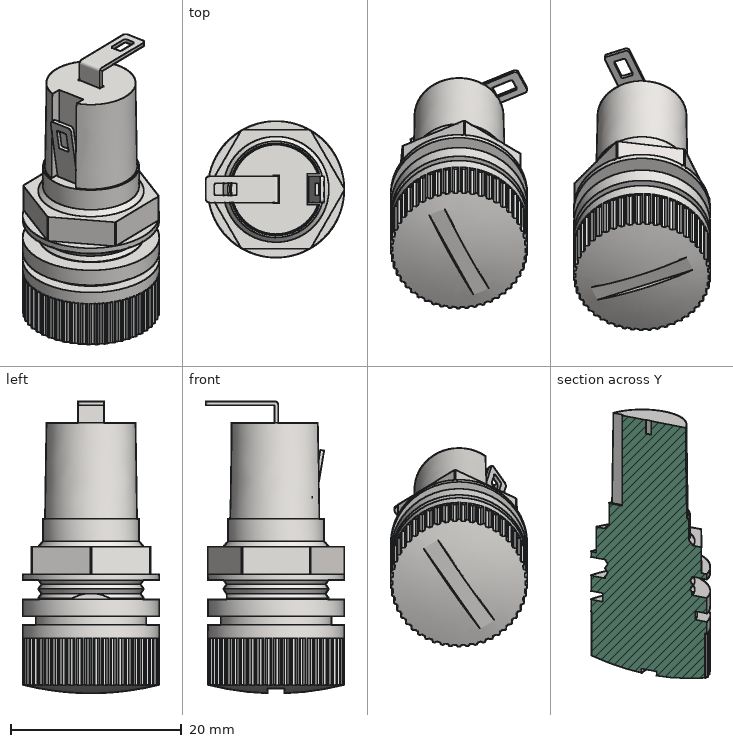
import cadquery as cq
import math


dome_height = 1.03
knurl_top = 6.5
cap_top = 8.03
neck_top = 9.02
flange_top = 11.0
washer_bottom = 13.25
nut_bottom = 13.98
nut_top = 17.2
shoulder_bottom = 17.8
shoulder_top = 20.45
body_top = 31.7
overall_height = 34.18

cap_radius = 8.0
neck_radius = 6.5
thread_crest_radius = 6.2
thread_root_radius = 5.8
shoulder_radius = 5.65
body_bottom_radius = 5.4
body_top_radius = 5.23

first_crest = 11.15
thread_pitch = 1.1
crest_count = 3
thread_flat_distance = 5.78

groove_count = 50
groove_mouth_width = 0.8
groove_floor_width = 0.35
groove_depth = 0.25
first_ridge_angle = 181.0

nut_across_flats = 13.95
driver_slot_width = 1.98
driver_slot_depth = 0.58
notch_inner_face = 3.65
notch_width = 3.62

terminal_width = 3.08
terminal_thickness = 0.48
terminal_corner_radius = 0.4
terminal_bend_radius = 0.4
eyelet_length = 2.63
eyelet_width = 1.45
eyelet_corner_radius = 0.2
eyelet_end_distance = 1.03
top_terminal_reach = 8.25
top_terminal_face = 0.27
terminal_pocket_gap = 0.1
terminal_pocket_depth = 1.7
side_terminal_tilt = 9.5
side_terminal_length = 8.9
side_terminal_tip_x = 5.65
side_terminal_tip_z = 28.45

clearance = 0.35

dome_sphere_radius = (cap_radius**2 + dome_height**2) / (2 * dome_height)
lowest_point = dome_sphere_radius - math.sqrt(dome_sphere_radius**2 - (driver_slot_width / 2) ** 2)
top_terminal_height = lowest_point + overall_height


def turned_core():
    """Domed cap, neck, flange, thread, shoulder and tapered body in one revolution."""
    mid_radius = cap_radius / 2
    mid_height = dome_sphere_radius - math.sqrt(dome_sphere_radius**2 - mid_radius**2)
    half_pitch = thread_pitch / 2
    thread_depth = thread_crest_radius - thread_root_radius
    run_in = (first_crest - flange_top) * thread_depth / half_pitch

    profile = (
        cq.Workplane("XZ")
        .moveTo(0, 0)
        .threePointArc((mid_radius, mid_height), (cap_radius, dome_height))
        .lineTo(cap_radius, cap_top)
        .lineTo(neck_radius, cap_top)
        .lineTo(neck_radius, neck_top)
        .lineTo(cap_radius, neck_top)
        .lineTo(cap_radius, flange_top)
        .lineTo(thread_crest_radius - run_in, flange_top)
    )
    for index in range(crest_count):
        crest = first_crest + index * thread_pitch
        profile = profile.lineTo(thread_crest_radius, crest)
        if index < crest_count - 1:
            profile = profile.lineTo(thread_root_radius, crest + half_pitch)
    profile = (
        profile.lineTo(thread_crest_radius, nut_top)
        .lineTo(shoulder_radius, shoulder_bottom)
        .lineTo(shoulder_radius, shoulder_top)
        .lineTo(body_bottom_radius, shoulder_top)
        .lineTo(body_top_radius, body_top)
        .lineTo(0, body_top)
        .close()
    )
    return profile.revolve(360, (0, 0, 0), (0, 1, 0))


def knurl_grooves():
    """Trapezoidal grooves around the cap, open at the dome."""
    pitch_angle = 360 / groove_count
    outer_radius = cap_radius + clearance
    mouth_radius = math.sqrt(cap_radius**2 - (groove_mouth_width / 2) ** 2)
    floor_radius = cap_radius - groove_depth
    groove = (
        cq.Workplane("XY")
        .polyline(
            [
                (floor_radius, -groove_floor_width / 2),
                (mouth_radius, -groove_mouth_width / 2),
                (outer_radius, -groove_mouth_width / 2),
                (outer_radius, groove_mouth_width / 2),
                (mouth_radius, groove_mouth_width / 2),
                (floor_radius, groove_floor_width / 2),
            ]
        )
        .close()
        .extrude(knurl_top)
    )
    grooves = cq.Workplane("XY")
    for index in range(groove_count):
        angle = first_ridge_angle + (index + 0.5) * pitch_angle
        grooves = grooves.add(groove.rotate((0, 0, 0), (0, 0, 1), angle))
    return cq.Compound.makeCompound(grooves.vals())


def driver_slot():
    """Screwdriver slot along Y across the dome."""
    return cq.Workplane("XY").box(driver_slot_width, 2 * cap_radius, 2 * driver_slot_depth)


def thread_flat():
    """Cutter for the flat on the -X side of the lowest thread turn."""
    first_root = first_crest + thread_pitch / 2
    depth = thread_crest_radius - thread_flat_distance + clearance
    return (
        cq.Workplane("XY", origin=(-thread_flat_distance - depth / 2, 0, flange_top))
        .rect(depth, 2 * thread_crest_radius)
        .extrude(first_root - flange_top)
    )


def washer_and_nut():
    """Round washer below a hexagonal nut whose corners are trimmed to the washer radius."""
    washer_plane = cq.Workplane("XY", origin=(0, 0, washer_bottom))
    washer = washer_plane.circle(cap_radius).extrude(nut_bottom - washer_bottom)
    nut_height = nut_top - nut_bottom
    across_corners = nut_across_flats / math.cos(math.radians(30))
    nut_plane = cq.Workplane("XY", origin=(0, 0, nut_bottom))
    nut = nut_plane.polygon(6, across_corners).extrude(nut_height)
    corner_trim = nut_plane.circle(cap_radius).extrude(nut_height)
    return washer.union(nut.intersect(corner_trim))


def side_notch():
    """Notch in the +X side of the body, down to the shoulder."""
    length = shoulder_radius - notch_inner_face
    return (
        cq.Workplane("XY", origin=(notch_inner_face + length / 2, 0, shoulder_top))
        .rect(length, notch_width)
        .extrude(body_top - shoulder_top + clearance)
    )


def terminal_blade(length):
    """Flat blade from x = 0 to its rounded tip at x = -length, top face at z = 0, with an eyelet near the tip."""
    blade = (
        cq.Workplane("XY")
        .box(length, terminal_width, terminal_thickness)
        .translate((-length / 2, 0, -terminal_thickness / 2))
        .edges("|Z and <X")
        .fillet(terminal_corner_radius)
    )
    eyelet_center = -length + eyelet_end_distance + eyelet_length / 2
    eyelet = (
        cq.Workplane("XY")
        .box(eyelet_length, eyelet_width, 3 * terminal_thickness)
        .edges("|Z")
        .fillet(eyelet_corner_radius)
        .translate((eyelet_center, 0, 0))
    )
    return blade.cut(eyelet)


def terminal_post(gap, bottom, top):
    """Upright block of the top terminal, widened by a gap on all four sides."""
    return (
        cq.Workplane("XY", origin=(top_terminal_face - terminal_thickness / 2, 0, bottom))
        .rect(terminal_thickness + 2 * gap, terminal_width + 2 * gap)
        .extrude(top - bottom)
    )


def terminal_pocket():
    """Pocket in the body top that leaves a narrow gap around the top terminal."""
    return terminal_post(terminal_pocket_gap, body_top - terminal_pocket_depth, body_top)


def top_terminal():
    """L-shaped terminal rooted below the pocket floor, rising from the body and pointing to -X."""
    length = top_terminal_reach + top_terminal_face
    blade = terminal_blade(length).translate((top_terminal_face, 0, top_terminal_height))
    post = terminal_post(0, body_top - terminal_pocket_depth - clearance, top_terminal_height)
    return blade.union(post).edges("|Y and >X and >Z").fillet(terminal_bend_radius)


def side_terminal():
    """Straight terminal in the notch, leaning outwards towards +X."""
    return (
        terminal_blade(side_terminal_length)
        .translate((side_terminal_length, 0, 0))
        .rotate((0, 0, 0), (0, 1, 0), 90 + side_terminal_tilt)
        .translate((side_terminal_tip_x, 0, side_terminal_tip_z))
    )


result = (
    turned_core()
    .cut(knurl_grooves())
    .cut(driver_slot())
    .cut(thread_flat())
    .cut(side_notch())
    .cut(terminal_pocket())
    .union(washer_and_nut())
    .union(top_terminal())
    .union(side_terminal())
)